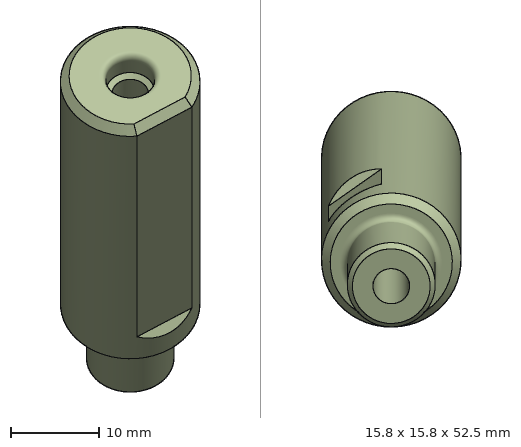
import cadquery as cq
import math

total_height = 52.5
body_diameter = 15.85
body_chamfer = 1.0
pin_diameter = 10.0
pin_length = 9.5
pin_chamfer = 0.6
pin_root_fillet = 0.8

flat_distance = 7.0
flat_bottom = 14.5
pocket_height = 6.05

through_diameter = 4.15
counterbore_diameter = 5.5
counterbore_depth = 2.9
seat_angle = 120.0
seat_height = (counterbore_diameter - through_diameter) / 2 / math.tan(math.radians(seat_angle / 2))
mouth_fillet = 0.8

body_radius = body_diameter / 2
flat_depth = body_radius - flat_distance
pocket_top = flat_bottom + pocket_height


def make_body():
    """Cylinder with chamfered ends."""
    body = cq.Workplane("XY").workplane(offset=pin_length)
    body = body.circle(body_radius).extrude(total_height - pin_length)
    return body.faces("<Z or >Z").edges().chamfer(body_chamfer)


def cut_profile(body, points):
    """Cut an XZ outline through the full width of the body."""
    cutter = cq.Workplane("XZ").polyline(points).close().extrude(body_radius, both=True)
    return body.cut(cutter)


def cut_flats(body):
    """Flats with 45 degree run-outs; the long one is chamfered at the top."""
    body = cut_profile(body, [
        (-flat_distance, flat_bottom),
        (-flat_distance, pocket_top),
        (-body_radius, pocket_top + flat_depth),
        (-body_radius, flat_bottom - flat_depth),
    ])
    return cut_profile(body, [
        (flat_distance, flat_bottom),
        (flat_distance, total_height - body_chamfer),
        (flat_distance - body_chamfer, total_height),
        (body_radius, total_height),
        (body_radius, flat_bottom - flat_depth),
    ])


def add_pin(body):
    """Chamfered pin below the body, filleted where it meets the shoulder."""
    pin = cq.Workplane("XY").circle(pin_diameter / 2).extrude(pin_length)
    pin = pin.faces("<Z").edges().chamfer(pin_chamfer)
    root = cq.selectors.BoxSelector(
        (-pin_diameter, -pin_diameter, pin_length - pin_chamfer / 2),
        (pin_diameter, pin_diameter, pin_length + pin_chamfer / 2),
    )
    return body.union(pin).edges(root).edges(cq.selectors.RadiusNthSelector(0)).fillet(pin_root_fillet)


def cut_bore(body):
    """Through hole, conical seat, counterbore and rounded mouth."""
    through_radius = through_diameter / 2
    counterbore_radius = counterbore_diameter / 2
    counterbore_floor = total_height - counterbore_depth
    mouth_radius = counterbore_radius + mouth_fillet
    diagonal = mouth_fillet * math.sqrt(0.5)
    bore = (
        cq.Workplane("XZ")
        .lineTo(through_radius, 0)
        .lineTo(through_radius, counterbore_floor - seat_height)
        .lineTo(counterbore_radius, counterbore_floor)
        .lineTo(counterbore_radius, total_height - mouth_fillet)
        .threePointArc(
            (mouth_radius - diagonal, total_height - mouth_fillet + diagonal),
            (mouth_radius, total_height),
        )
        .lineTo(0, total_height)
        .close()
        .revolve(360, (0, 0, 0), (0, 1, 0))
    )
    return body.cut(bore)


body = cut_flats(make_body())
result = cut_bore(add_pin(body))